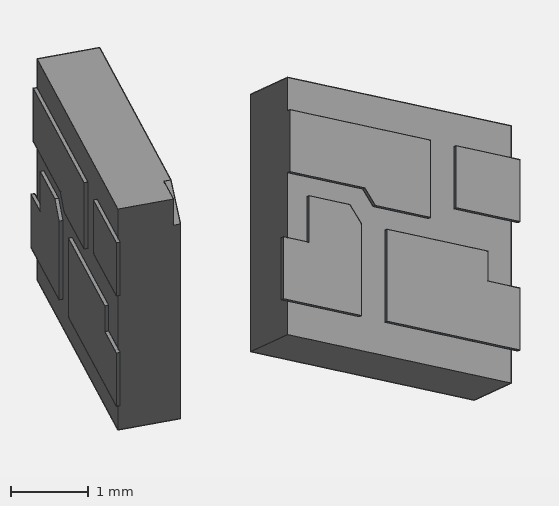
import cadquery as cq

total_width = 3.7
total_depth = 0.9
body_size = 3.5
pad_thickness = 0.05
body_depth = total_depth - pad_thickness
half_total = total_width / 2
half_body = body_size / 2

row_outer = 1.295
row_inner = 0.45
pad_gap = 0.4

upper_left_right = 0.45
upper_left_bottom = 0.245
slope_start = -0.577
slope_end = -0.415

lower_left_shoulder = -1.45
lower_left_right = -0.63
lower_left_top = 0.18
bevel_width = 0.18
bevel_height = 0.23

lower_right_shoulder = 1.35
lower_right_top = -0.045

recess_leg = 0.415
recess_depth = 0.095


def front_pad(outline):
    """Pad standing on the front face of the body, from its (X, Z) corners."""
    return cq.Workplane("XZ").polyline(outline).close().extrude(pad_thickness)


def make_body():
    return cq.Workplane("XZ").rect(body_size, body_size).extrude(-body_depth)


def corner_recess():
    return (
        cq.Workplane("XZ", origin=(half_body, body_depth, half_body))
        .polyline([(0, 0), (-recess_leg, 0), (0, -recess_leg)])
        .close()
        .extrude(recess_depth)
    )


def upper_left_pad():
    return front_pad([
        (-half_body, row_outer),
        (upper_left_right, row_outer),
        (upper_left_right, upper_left_bottom),
        (slope_end, upper_left_bottom),
        (slope_start, row_inner),
        (-half_body, row_inner),
    ])


def upper_right_pad():
    left = upper_left_right + pad_gap
    return front_pad([
        (left, row_outer),
        (half_total, row_outer),
        (half_total, row_inner),
        (left, row_inner),
    ])


def lower_left_pad():
    return front_pad([
        (-half_total, -row_outer),
        (lower_left_right, -row_outer),
        (lower_left_right, lower_left_top - bevel_height),
        (lower_left_right - bevel_width, lower_left_top),
        (lower_left_shoulder, lower_left_top),
        (lower_left_shoulder, -row_inner),
        (-half_total, -row_inner),
    ])


def lower_right_pad():
    left = lower_left_right + pad_gap
    return front_pad([
        (left, -row_outer),
        (half_total, -row_outer),
        (half_total, -row_inner),
        (lower_right_shoulder, -row_inner),
        (lower_right_shoulder, lower_right_top),
        (left, lower_right_top),
    ])


result = (
    make_body()
    .cut(corner_recess())
    .union(upper_left_pad())
    .union(upper_right_pad())
    .union(lower_left_pad())
    .union(lower_right_pad())
)